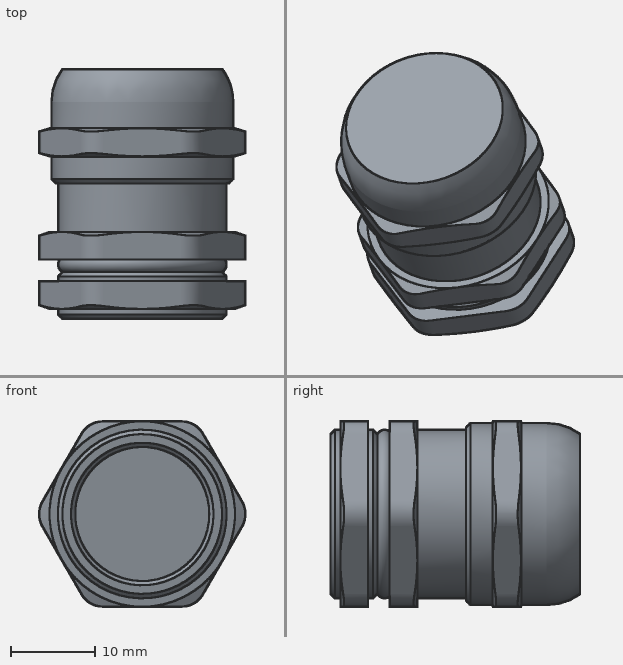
import cadquery as cq
import math

LENGTH = 29.6

BODY_R = 20.0 / 2
BODY_CHAMFER = 0.53
BORE_R = 15.9 / 2
BORE_DEPTH = 5.03
MOUTH_CHAMFER = 0.5

HEX_FLATS = 22.0
HEX_CORNER_R = 2.95
HEX_CHAMFER = 0.45
LOCKNUT_Y = 1.18
LOCKNUT_WIDTH = 3.3
BODY_HEX_Y = 7.02
BODY_HEX_WIDTH = 3.3
CAP_HEX_Y = 19.2
CAP_HEX_WIDTH = 3.43

THREAD_END_Y = 5.55
THREAD_END_R = 9.47
RING_R = BODY_R
RING_END_Y = 7.3
RING_SEAT_R = 10.45
RING_SEAT_DEPTH = RING_SEAT_R - THREAD_END_R
RING_SEAT_Y = BODY_HEX_Y + RING_SEAT_DEPTH

CAP_R = 21.6 / 2
CAP_Y = 16.07
CAP_CHAMFER = 0.53
DOME_Y = 25.65
CAP_TOP_R = 19.0 / 2


def cap_dome_middle():
    """Midpoint of the dome arc, which leaves the cap cylinder tangentially."""
    rise = LENGTH - DOME_Y
    inset = CAP_R - CAP_TOP_R
    radius = (rise**2 + inset**2) / (2 * inset)
    half_angle = math.asin(rise / radius) / 2
    return (
        CAP_R - radius * (1 - math.cos(half_angle)),
        DOME_Y + radius * math.sin(half_angle),
    )


def revolved_body():
    """All the round outer surfaces, turned about the Y axis."""
    profile = (
        cq.Workplane("XY")
        .moveTo(0, 0)
        .lineTo(BODY_R - BODY_CHAMFER, 0)
        .lineTo(BODY_R, BODY_CHAMFER)
        .lineTo(BODY_R, THREAD_END_Y - (BODY_R - THREAD_END_R))
        .lineTo(THREAD_END_R, THREAD_END_Y)
        .threePointArc((RING_R, (THREAD_END_Y + RING_END_Y) / 2), (THREAD_END_R, RING_END_Y))
        .lineTo(THREAD_END_R, RING_SEAT_Y)
        .lineTo(BODY_R, RING_SEAT_Y)
        .lineTo(BODY_R, CAP_Y)
        .lineTo(CAP_R - CAP_CHAMFER, CAP_Y)
        .lineTo(CAP_R, CAP_Y + CAP_CHAMFER)
        .lineTo(CAP_R, DOME_Y)
        .threePointArc(cap_dome_middle(), (CAP_TOP_R, LENGTH))
        .lineTo(0, LENGTH)
        .close()
    )
    return profile.revolve(360, (0, 0, 0), (0, 1, 0))


def hexagon(start_y, width, face_r, chamfer_front, chamfer_back):
    """Hexagon with rounded corners pointing along X, coned on the chosen faces down to face_r."""
    sharp_corner_r = HEX_FLATS / 2 / math.cos(math.pi / 6)
    tip_r = sharp_corner_r - HEX_CORNER_R * (1 / math.cos(math.pi / 6) - 1)
    prism = (
        cq.Workplane("XZ", origin=(0, start_y, 0))
        .polygon(6, 2 * sharp_corner_r)
        .extrude(-width)
        .edges("|Y")
        .fillet(HEX_CORNER_R)
    )
    end_y = start_y + width
    envelope = [(0, start_y)]
    if chamfer_front:
        envelope += [(face_r, start_y), (tip_r, start_y + HEX_CHAMFER)]
    else:
        envelope += [(tip_r, start_y)]
    if chamfer_back:
        envelope += [(tip_r, end_y - HEX_CHAMFER), (face_r, end_y)]
    else:
        envelope += [(tip_r, end_y)]
    envelope += [(0, end_y)]
    cone_limits = cq.Workplane("XY").polyline(envelope).close().revolve(360, (0, 0, 0), (0, 1, 0))
    return prism.intersect(cone_limits)


def bore():
    """Blind bore with a chamfered mouth at Y = 0."""
    profile = [
        (0, 0),
        (BORE_R + MOUTH_CHAMFER, 0),
        (BORE_R, MOUTH_CHAMFER),
        (BORE_R, BORE_DEPTH),
        (0, BORE_DEPTH),
    ]
    return cq.Workplane("XY").polyline(profile).close().revolve(360, (0, 0, 0), (0, 1, 0))


def ring_seat():
    """Conical recess at 45 degrees, narrowing to the thread end radius behind the sealing ring."""
    profile = [
        (0, BODY_HEX_Y),
        (RING_SEAT_R, BODY_HEX_Y),
        (THREAD_END_R, RING_SEAT_Y),
        (0, RING_SEAT_Y),
    ]
    return cq.Workplane("XY").polyline(profile).close().revolve(360, (0, 0, 0), (0, 1, 0))


locknut = hexagon(LOCKNUT_Y, LOCKNUT_WIDTH, HEX_FLATS / 2, chamfer_front=True, chamfer_back=False)
body_hex = hexagon(BODY_HEX_Y, BODY_HEX_WIDTH, HEX_FLATS / 2, chamfer_front=False, chamfer_back=True)
body_hex = body_hex.cut(ring_seat())
cap_hex = hexagon(CAP_HEX_Y, CAP_HEX_WIDTH, CAP_R, chamfer_front=True, chamfer_back=True)

result = revolved_body().union(locknut).union(body_hex).union(cap_hex).cut(bore())